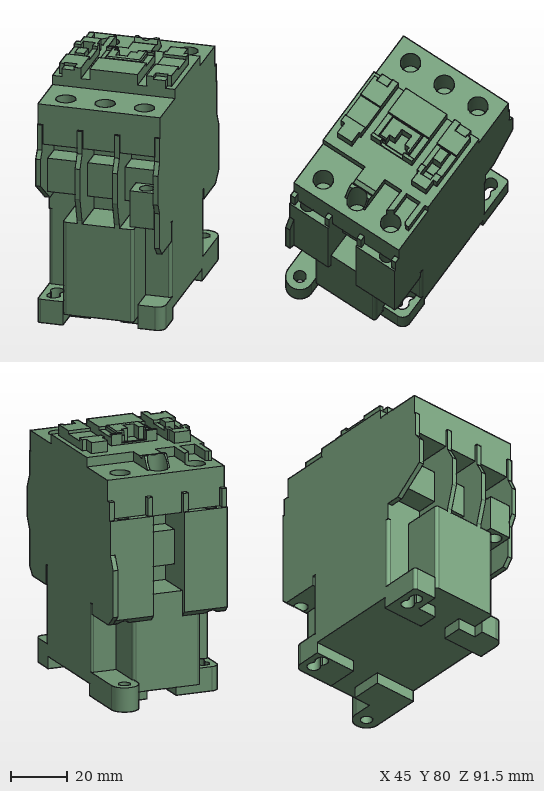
import cadquery as cq


width = 45.0
depth = 80.0
height = 91.5
mid_x = width / 2
rib = 1.8
pole_rib_offset = 6.9

shoulder_z = 83.45
deck_z = 86.9
label_z = 90.95
band_z = 89.85
front_y = 3.5
rear_y = 71.4
deck_front_y = 21.8
deck_rear_y = 53.25
core_front_y = 17.6
core_rear_y = 57.4
body_bottom_z = 4.5
recess_top_z = 68.3
wall_bottom_z = 44.3
skirt_z = 30.5

coil_half_width = 13.0
coil_top_z = 39.8
coil_front_y = 2.5
coil_rear_y = 72.3
corner_r = 1.1

foot_z = 9.0
foot_width = 9.3
foot_reach = 16.9
foot_front_y = 3.1
right_foot_front_y = 7.8
under_front_y = 11.7
foot_rear_y = 67.6
front_foot_end_y = 19.3
rear_foot_start_y = 55.5
foot_r = 3.1
eye_r = 5.0
eye_x = width - eye_r
eye_y = depth - eye_r

pole_pitch = 14.5
screw_r = 3.6
screw_floor_z = 71.4
screw_y = (10.5, 64.5)
pole_shift = 0.2
poles = [mid_x + pole_shift + step * pole_pitch for step in (-1, 0, 1)]


def block(x0, x1, y0, y1, z0, z1):
    """Box between two corners."""
    return cq.Workplane("XY").box(x1 - x0, y1 - y0, z1 - z0, centered=False).translate((x0, y0, z0))


def slab(outline, x0, x1):
    """Side outline, given as (y, z) points, drawn out from x0 to x1."""
    return cq.Workplane("YZ").polyline(outline).close().extrude(x1 - x0).translate((x0, 0, 0))


def bore(x, y, r, z0, z1):
    """Vertical cylinder."""
    return cq.Workplane("XY").center(x, y).circle(r).extrude(z1 - z0).translate((0, 0, z0))


def mirrored(shape):
    """Same shape on the other side of the middle of the body."""
    return shape.mirror("YZ", (mid_x, 0, 0))


def make_core():
    post_top_z = 37.8
    groove_top_z = 34.3
    groove = 0.55
    rear_r = 0.8
    posts = block(0, width, core_front_y, core_rear_y, body_bottom_z, post_top_z)
    posts = posts.edges("|Z and <Y").fillet(corner_r)
    posts = posts.edges("|Z and >Y").fillet(rear_r)
    upper = slab([
        (core_front_y, post_top_z),
        (core_front_y, recess_top_z),
        (front_y, recess_top_z),
        (front_y, shoulder_z),
        (deck_front_y, shoulder_z),
        (deck_front_y, deck_z),
        (deck_rear_y, deck_z),
        (deck_rear_y, shoulder_z),
        (rear_y, shoulder_z),
        (rear_y, skirt_z),
        (core_rear_y + groove, skirt_z),
        (core_rear_y + groove, groove_top_z),
        (core_rear_y - rear_r, groove_top_z),
        (core_rear_y - rear_r, post_top_z),
    ], 0, width)
    return posts.union(upper)


def make_coil_box():
    box = block(mid_x - coil_half_width, mid_x + coil_half_width,
                coil_front_y, coil_rear_y, body_bottom_z, coil_top_z)
    return box.edges("|Z").fillet(corner_r)


rib_face_y = 2.6
wall_face_y = 2.8
rib_top_z = 75.1
wall_top_z = 75.8
wall_nose_y = 0.7


def make_front_guards():
    rib_outline = [
        (core_front_y, rib_top_z),
        (rib_face_y, rib_top_z),
        (rib_face_y, 66.5),
        (0, 61.7),
        (0, 50.05),
        (coil_front_y, 41.1),
        (coil_front_y, coil_top_z),
        (core_front_y, coil_top_z),
    ]
    left_wall = slab([
        (core_front_y, wall_top_z),
        (wall_face_y, wall_top_z),
        (wall_face_y, 66.2),
        (wall_nose_y, 63.4),
        (wall_nose_y, 53.2),
        (12.35, wall_bottom_z),
        (core_front_y, wall_bottom_z),
    ], 0, rib)
    right_wall = slab([
        (core_front_y, wall_top_z),
        (wall_face_y, wall_top_z),
        (wall_face_y, 66.8),
        (wall_nose_y, 62.1),
        (wall_nose_y, 51.1),
        (wall_face_y, 46.9),
        (wall_face_y, 33.6),
        (5.4, skirt_z),
        (core_front_y, skirt_z),
    ], width - rib, width)
    guards = left_wall.union(right_wall)
    for side in (-1, 1):
        x = mid_x + side * pole_rib_offset
        guards = guards.union(slab(rib_outline, x - rib / 2, x + rib / 2))
    return guards


terminal_z = (47.7, 60.4)
terminal_front_y = 9.6
coil_terminal_width = 8.9
coil_terminal_z = (41.2, 54.9)
coil_terminal_front_y = 1.9
coil_screw_r = 2.6
coil_screw_x = 5.6
coil_screw_y = (5.7, 70.7)


def make_front_terminals():
    bar = block(rib, width - rib, terminal_front_y, core_front_y, *terminal_z)
    x_end = width - rib
    coil_terminal = block(x_end - coil_terminal_width, x_end,
                          coil_terminal_front_y, core_front_y, *coil_terminal_z)
    screw = bore(width - coil_screw_x, coil_screw_y[0], coil_screw_r, *coil_terminal_z)
    return bar.union(coil_terminal).cut(screw)


cover_y = 74.0
cover_top_z = 69.0
cover_rib_y = 73.4


def make_rear_covers():
    bevel = 1.8
    side_rib_y = 76.5
    side_rib_top_z = 56.5
    bay_edge = mid_x - pole_rib_offset + rib / 2
    cover = slab([
        (rear_y, skirt_z),
        (coil_rear_y, skirt_z),
        (cover_y, skirt_z + bevel),
        (cover_y, cover_top_z),
        (rear_y, cover_top_z),
    ], 0, bay_edge)
    for x0 in (0, bay_edge - rib):
        cover = cover.union(block(x0, x0 + rib, rear_y, cover_rib_y, cover_top_z, wall_top_z))
    side_rib = slab([
        (rear_y, skirt_z),
        (coil_rear_y, skirt_z),
        (side_rib_y, 34.3),
        (side_rib_y, 51.5),
        (cover_y, side_rib_top_z),
        (rear_y, side_rib_top_z),
    ], width - rib, width)
    return cover.union(mirrored(cover)).union(side_rib)


def make_rear_bay():
    """Recess of the middle rear pole, around its terminal."""
    half = pole_rib_offset - rib / 2
    back_y = front_y + rear_y - core_front_y
    terminal_y = front_y + rear_y - terminal_front_y
    recess = block(mid_x - half, mid_x + half, back_y, cover_y, coil_top_z, recess_top_z)
    return recess.cut(block(mid_x - half, mid_x + half, back_y, terminal_y, *terminal_z))


def make_feet():
    left_front = block(0, foot_width, foot_front_y, front_foot_end_y, 0, foot_z)
    left_front = left_front.edges("|Z and <X and <Y").fillet(corner_r)
    right_front = block(mid_x + coil_half_width, width, right_foot_front_y, front_foot_end_y, 0, foot_z)
    right_front = right_front.edges("|Z and >X and <Y").fillet(foot_r)
    left_rear = block(0, foot_width, rear_foot_start_y, foot_rear_y, 0, foot_z)
    left_rear = left_rear.edges("|Z and <X and >Y").fillet(foot_r)
    eye = block(eye_x - eye_r, width, rear_foot_start_y, eye_y, 0, foot_z)
    eye = eye.union(bore(eye_x, eye_y, eye_r, 0, foot_z))
    feet = left_front.union(right_front).union(left_rear).union(eye)
    for y0, y1 in ((under_front_y, front_foot_end_y), (rear_foot_start_y, foot_rear_y)):
        under = block(foot_width - corner_r, foot_reach, y0, y1, 0, body_bottom_z)
        feet = feet.union(under).union(mirrored(under))
    return feet


def make_foot_holes():
    """Double holes in the two left feet, each two bores joined by a neck, and the bore of the eye."""
    hole_r = 2.4
    hole_x = 4.6
    hole_step = 4.4
    neck_half = 1.65
    eye_hole_r = 2.2
    holes = bore(eye_x, eye_y, eye_hole_r, 0, foot_z)
    for first_y in (7.9, 58.3):
        last_y = first_y + hole_step
        for y in (first_y, last_y):
            holes = holes.union(bore(hole_x, y, hole_r, 0, foot_z))
        holes = holes.union(block(hole_x - neck_half, hole_x + neck_half, first_y, last_y, 0, foot_z))
    return holes


side_block_x = (1.9, 10.4)
neck_x = (3.5, 9.7)
side_block_front_y = 24.2
side_block_rear_y = 45.0
label_rear_y = 49.5
band_y = (32.8, 42.3)
notch_inner_x = 8.0
notch_rear_y = 25.2


def make_side_block():
    main = block(*side_block_x, side_block_front_y, side_block_rear_y, deck_z, label_z)
    front = block(neck_x[0], side_block_x[1], deck_front_y, side_block_front_y, deck_z, label_z)
    neck = block(*neck_x, side_block_rear_y, label_rear_y, deck_z, label_z)
    notch = block(neck_x[0], notch_inner_x, deck_front_y, notch_rear_y, band_z, label_z)
    band = block(*side_block_x, *band_y, band_z, label_z)
    return main.union(front).union(neck).cut(notch).cut(band)


def add_indicator_block(body):
    """Adds the left side block, with a stepped pit that holds the sliding indicator."""
    clearance = 0.4
    pit_x = (4.4, 8.6)
    pit_front_y = 33.1
    pit_rear_y = 45.5
    slider_rear_y = 38.4
    pit_floor_z = 86.5
    pit = block(*pit_x, pit_front_y, pit_rear_y, deck_z, label_z)
    sump = block(*pit_x, pit_front_y, band_y[1], pit_floor_z, deck_z)
    slider = block(pit_x[0] + clearance, pit_x[1] - clearance,
                   pit_front_y + clearance, slider_rear_y, pit_floor_z, height)
    return body.union(make_side_block()).cut(pit).cut(sump).union(slider)


def make_centre_block():
    """Label block with a raised plate; a T-shaped cutout opens towards its rear rim."""
    half = 8.8
    rear = 43.5
    gap_half = 4.7
    rim_gap_z = 87.5
    plate_half = 6.5
    plate_y = (33.1, 42.1)
    plate_bevel = 0.5
    stem_x = (19.2, 23.4)
    stem_front_y = 35.7
    bar_x = (17.4, 25.8)
    bar_front_y = 39.9
    base = block(mid_x - half, mid_x + half, deck_front_y, rear, deck_z, label_z)
    band = block(mid_x - half, mid_x + half, *band_y, band_z, label_z)
    plate = block(mid_x - plate_half, mid_x + plate_half, *plate_y, band_z, height)
    plate = plate.faces(">Z").edges().chamfer(plate_bevel)
    rim_gap = block(mid_x - gap_half, mid_x + gap_half, band_y[1], rear, rim_gap_z, label_z)
    stem = block(*stem_x, stem_front_y, band_y[1], deck_z, height)
    bar = block(*bar_x, bar_front_y, band_y[1], deck_z, height)
    return base.cut(band).union(plate).cut(rim_gap).cut(stem).cut(bar)


def make_rear_tongue():
    """Ramped tongue behind the deck, and the two low rails of the left pole."""
    tongue_x = (18.6, 27.1)
    outer_rail_x = (1.4, 3.5)
    inner_rail_x = (9.2, 11.35)
    rail_end_y = 63.3
    rail_chamfer = 0.9
    tongue = slab([
        (deck_rear_y, shoulder_z),
        (deck_rear_y, deck_z),
        (58.7, deck_z),
        (60.4, 86.3),
        (61.3, 87.8),
        (62.9, 87.8),
        (65.7, shoulder_z),
    ], *tongue_x)
    outer_rail = block(*outer_rail_x, deck_rear_y, rail_end_y, shoulder_z, deck_z)
    outer_rail = outer_rail.edges("|Z and >X and >Y").chamfer(rail_chamfer)
    inner_rail = block(*inner_rail_x, deck_rear_y, rail_end_y, shoulder_z, deck_z)
    return tongue.union(outer_rail).union(inner_rail)


body = make_core().union(make_front_guards()).union(make_front_terminals()).union(make_rear_covers())
body = body.union(make_coil_box()).cut(make_rear_bay())
body = body.union(make_rear_tongue())

for pole_x in poles:
    for y in screw_y:
        body = body.cut(bore(pole_x, y, screw_r, screw_floor_z, height))

for x in (coil_screw_x, width - coil_screw_x):
    body = body.cut(bore(x, coil_screw_y[1], coil_screw_r, skirt_z, cover_top_z))

body = add_indicator_block(body)
body = body.union(mirrored(make_side_block())).union(make_centre_block())
result = body.union(make_feet()).cut(make_foot_holes())